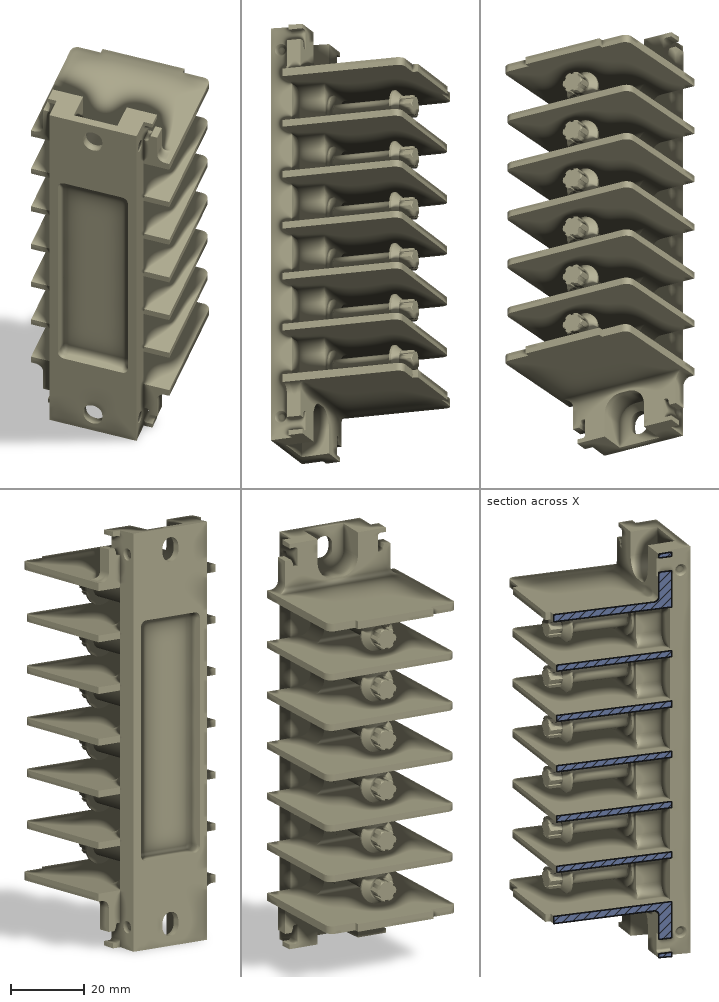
import cadquery as cq
import math

length = 117.2
plate_width = 25.2
plate_depth = 6.1
end_taper = 0.35

pocket_width = 20.2
pocket_height = 67.4
pocket_depth = 4.2
pocket_corner = 1.8
pocket_floor_edge = 1.0
pocket_draft = 6.0

mount_z = 52.5
mount_width = 5.4
mount_height = 6.8
dimple_y = 2.9
dimple_z = 52.2
dimple_radius = 1.7
dimple_floor_radius = 0.95
dimple_depth = 0.8

bay_count = 6
bay_pitch = 14.5
fin_width = 40.0
fin_thickness = 1.9
fin_back = 40.2
fin_corner = 2.3
end_fin_thickness = 2.2
end_fin_shoulder = 41.0
end_fin_corner = 2.0
end_fin_back = 42.5
tab_width = 23.7

bay_block_width = 12.6
bay_block_back = 13.6
bay_side_fillet = 3.1
bay_back_fillet = 1.0

end_block_back = 10.1
end_back_fillet = 1.4
lip_width = 30.2
lip_bottom = 57.0
lip_fillet = 0.8
clip_width = 33.0
clip_top = 53.6
clip_fillet = 2.4
clip_slot_width = 1.5
clip_slot_floor = 51.5
clip_slot_round = 0.7
clip_tip_width = 1.95
clip_lead_in = 1.0
end_slot_width = 12.6
end_slot_front = 2.2
end_slot_floor = 46.3
end_slot_corner = 5.0

seat_radius = 5.05
seat_thickness = 0.7
collar_radius = 2.65
collar_thickness = 0.35
shank_radius = 2.55
flange_front = 31.6
flange_thickness = 0.6
flange_radius = 4.9
cone_back = 33.9
cone_small_radius = 3.25
head_back = 37.6
head_sides = 6
head_across_flats = 5.5
head_corner_bevel = 0.35
groove_width = 1.1
groove_depth = 0.35

half_length = length / 2
half_plate = plate_width / 2
end_fin_z = bay_count * bay_pitch / 2
end_fin_outer = end_fin_z + end_fin_thickness / 2
end_fin_inner = end_fin_z - end_fin_thickness / 2


def box(x0, x1, y0, y1, z0, z1):
    """Box from its low and high limits along each axis."""
    return cq.Workplane("XY").box(x1 - x0, y1 - y0, z1 - z0, centered=False).translate((x0, y0, z0))


def centered_box(width, y0, y1, z0, z1):
    """Box centred on X = 0."""
    return box(-width / 2, width / 2, y0, y1, z0, z1)


def xz_sketch(y):
    """Plane at depth y: local axes X and Z, normal toward -Y."""
    return cq.Workplane("XZ", origin=(0, y, 0))


def point_on_circle(center, radius, degrees):
    """Point on a circle at the given angle."""
    angle = math.radians(degrees)
    return center[0] + radius * math.cos(angle), center[1] + radius * math.sin(angle)


def mirrored_pair(body, plane):
    """Body joined with its mirror image across a main plane."""
    return body.union(body.mirror(plane))


def fin(z, thickness, back, corner):
    """Flat barrier with its two back corners rounded."""
    body = centered_box(fin_width, plate_depth, back, z - thickness / 2, z + thickness / 2)
    return body.edges("|Z and >Y").fillet(corner)


def end_fin():
    """Outermost barrier, thicker and with a tab along its back edge."""
    body = fin(end_fin_z, end_fin_thickness, end_fin_shoulder, end_fin_corner)
    tab = centered_box(tab_width, plate_depth, end_fin_back, end_fin_inner, end_fin_outer)
    return body.union(tab)


def flared_half_profile(sketch, base, face, z_foot, z_mid, radius):
    """Strip from base to face, spreading through a concave arc where it meets the fin at z_foot."""
    up = math.copysign(1, z_mid - z_foot)
    center = (face + radius, z_foot + up * radius)
    return (
        sketch.moveTo(base, z_mid)
        .lineTo(face, z_mid)
        .lineTo(face, center[1])
        .threePointArc(point_on_circle(center, radius, 180 + up * 45), (face + radius, z_foot))
        .lineTo(base, z_foot)
        .close()
    )


def flared_foot(half_width, back, side_radius, back_radius, z_foot, z_mid):
    """Block on a fin, its two sides and its back rounded into the fin with mitred corners."""
    side = flared_half_profile(xz_sketch(plate_depth), 0, half_width, z_foot, z_mid, side_radius)
    body = mirrored_pair(side.extrude(-(back + back_radius - plate_depth)), "YZ")
    reach = half_width + side_radius
    profile = flared_half_profile(
        cq.Workplane("YZ", origin=(-reach, 0, 0)), plate_depth, back, z_foot, z_mid, back_radius
    )
    return body.intersect(profile.extrude(2 * reach))


def bay_block(z, z_low, z_high):
    """Terminal seat block filling the gap between two fins behind the plate."""
    half_width = bay_block_width / 2
    lower = flared_foot(half_width, bay_block_back, bay_side_fillet, bay_back_fillet, z_low, z)
    upper = flared_foot(half_width, bay_block_back, bay_side_fillet, bay_back_fillet, z_high, z)
    return lower.union(upper)


def screw(z):
    """Terminal screw along Y: round seat, collar, shank, coned flange and grooved hex head."""
    seat_back = bay_block_back + seat_thickness
    collar_back = seat_back + collar_thickness
    cone_front = flange_front + flange_thickness
    half_section = [
        (0, bay_block_back),
        (seat_radius, bay_block_back),
        (seat_radius, seat_back),
        (collar_radius, seat_back),
        (collar_radius, collar_back),
        (shank_radius, collar_back),
        (shank_radius, flange_front),
        (flange_radius, flange_front),
        (flange_radius, cone_front),
        (cone_small_radius, cone_back),
        (0, cone_back),
    ]
    body = cq.Workplane("XY").polyline(half_section).close().revolve(360, (0, 0), (0, 1))

    corner_radius = head_across_flats / 2 / math.cos(math.pi / head_sides)
    head = xz_sketch(cone_front).polygon(head_sides, 2 * corner_radius).extrude(cone_front - head_back)
    envelope = (
        xz_sketch(cone_front)
        .circle(corner_radius)
        .extrude(cone_front - head_back)
        .faces(">Y")
        .edges()
        .chamfer(head_corner_bevel)
    )
    head = head.intersect(envelope)
    flat = head_across_flats / 2
    groove = centered_box(groove_width, cone_front, head_back, flat - groove_depth, flat + groove_depth)
    for turn in range(head_sides):
        head = head.cut(groove.rotate((0, 0, 0), (0, 1, 0), turn * 360 / head_sides))
    return body.union(head).translate((0, 0, z))


def leaning_slab(width, back):
    """Slab from the front face to the given back, its two ends leaning inward toward the back."""
    lean = end_taper * back / end_block_back
    outline = [
        (0, -half_length),
        (back, lean - half_length),
        (back, half_length - lean),
        (0, half_length),
    ]
    start = cq.Workplane("YZ", origin=(-width / 2, 0, 0))
    return start.polyline(outline).close().extrude(width)


def clip():
    """Hooked ear on the +X side of the upper end block, standing on the end fin."""
    outer = clip_width / 2
    slot_outer = half_plate + clip_slot_width
    slot_start = clip_slot_floor + clip_slot_round
    slot_center = (slot_outer - clip_slot_round, slot_start)
    outline = (
        xz_sketch(plate_depth)
        .moveTo(half_plate, end_fin_outer)
        .lineTo(half_plate, clip_slot_floor)
        .lineTo(slot_center[0], clip_slot_floor)
        .threePointArc(point_on_circle(slot_center, clip_slot_round, -45), (slot_outer, slot_start))
        .lineTo(slot_outer, clip_top - clip_lead_in)
        .lineTo(outer - clip_tip_width, clip_top)
        .lineTo(outer, clip_top)
        .lineTo(outer, end_fin_outer)
        .close()
    )
    return outline.extrude(plate_depth - end_block_back)


def lip():
    """Small ledge on the +X side at the very end of the upper end block."""
    center = (half_plate + lip_fillet, lip_bottom - lip_fillet)
    outline = (
        xz_sketch(plate_depth)
        .moveTo(0, half_length)
        .lineTo(lip_width / 2, half_length)
        .lineTo(lip_width / 2, lip_bottom)
        .lineTo(center[0], lip_bottom)
        .threePointArc(point_on_circle(center, lip_fillet, 135), (half_plate, center[1]))
        .lineTo(0, center[1])
        .close()
    )
    return outline.extrude(plate_depth - end_block_back)


def end_block():
    """Upper end block behind the plate, with its clips, lips and flared foot."""
    body = centered_box(plate_width, plate_depth, end_block_back, end_fin_outer, half_length)
    body = body.union(mirrored_pair(lip(), "YZ"))
    body = body.intersect(leaning_slab(lip_width, end_block_back))
    body = body.union(mirrored_pair(clip(), "YZ"))
    foot = flared_foot(
        clip_width / 2, end_block_back, clip_fillet, end_back_fillet, end_fin_outer, clip_slot_floor
    )
    return body.union(foot)


def pocket():
    """Drafted pocket in the front face with a rounded floor edge."""
    outline = xz_sketch(0).sketch().rect(pocket_width, pocket_height).vertices().fillet(pocket_corner)
    body = outline.finalize().extrude(-pocket_depth, taper=pocket_draft)
    return body.faces(">Y").edges().fillet(pocket_floor_edge)


def mounting_hole():
    """Upper oblong hole through the plate."""
    hole = xz_sketch(0).center(0, mount_z).slot2D(mount_height, mount_width, 90)
    return hole.extrude(-end_block_back)


def end_slot():
    """U-shaped slot through the upper end block, open at the end and at the back."""
    rear = end_block_back + end_back_fillet
    body = centered_box(end_slot_width, end_slot_front, rear, end_slot_floor, half_length)
    return body.edges("|Y and <Z").fillet(end_slot_corner)


def dimple():
    """Conical dimple in the +X side of the plate near the upper end."""
    half_section = [
        (0, 0),
        (dimple_radius, 0),
        (dimple_floor_radius, dimple_depth),
        (0, dimple_depth),
    ]
    cone = cq.Workplane("XY").polyline(half_section).close().revolve(360, (0, 0), (0, 1))
    return cone.rotate((0, 0, 0), (0, 0, 1), 90).translate((half_plate, dimple_y, dimple_z))


body = leaning_slab(plate_width, plate_depth)
body = body.union(mirrored_pair(end_block(), "XY"))
body = body.union(mirrored_pair(end_fin(), "XY"))
for index in range(1, bay_count):
    fin_z = index * bay_pitch - end_fin_z
    body = body.union(fin(fin_z, fin_thickness, fin_back, fin_corner))

for index in range(bay_count):
    bay_z = (index + 0.5) * bay_pitch - end_fin_z
    bay_low = max(bay_z - (bay_pitch - fin_thickness) / 2, -end_fin_inner)
    bay_high = min(bay_z + (bay_pitch - fin_thickness) / 2, end_fin_inner)
    body = body.union(bay_block(bay_z, bay_low, bay_high))
    body = body.union(screw(bay_z))

body = body.cut(pocket())
for cutter in (mounting_hole(), end_slot(), mirrored_pair(dimple(), "YZ")):
    body = body.cut(cutter)
    body = body.cut(cutter.mirror("XY"))

result = body